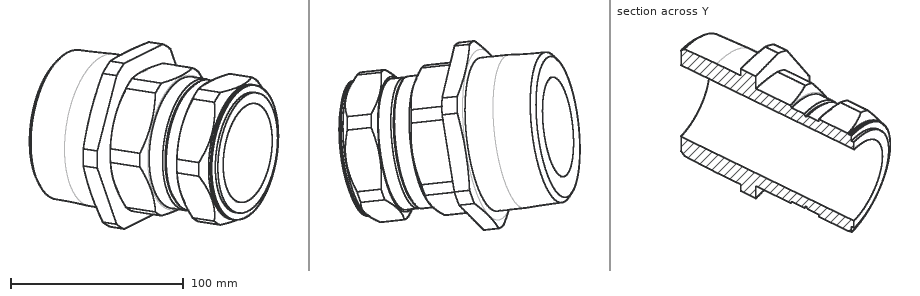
import cadquery as cq

total_length = 122.0
bore_radius = 29.0

thread_tip_radius = 41.1
thread_start_radius = 43.9
thread_body_radius = 44.75
thread_chamfer_length = 2.6
taper_end_x = 25.2

flat_angle = 30.0

flange_start_x = 42.1
flange_width = 10.7
flange_across_flats = 100.0
flange_corner_radius = 55.0
flange_face_radius = 49.75
flange_chamfer_length = 1.4

nut_across_flats = 80.0
nut_corner_radius = 44.0
nut_face_radius = 39.5
nut_chamfer_length = 2.6
body_nut_end_x = 77.6
cap_nut_start_x = 97.0
cap_nut_end_x = 118.2
cap_nut_front_chamfer_length = 4.0

body_neck_radius = 38.6
body_neck_end_x = 87.8
cap_neck_radius = 38.3
cap_neck_start_x = 88.3
neck_groove_radius = 36.9
neck_root_cone_length = 0.6
body_neck_chamfer_length = 0.7
cap_neck_chamfer_length = 1.1

collar_radius = 39.6
collar_end_x = 119.4
washer_radius = 39.5
washer_end_x = 120.3
seal_radius = 35.3


def revolve_about_x(profile):
    """Close a list of (x, radius) points onto the X axis and revolve it."""
    first_x = profile[0][0]
    last_x = profile[-1][0]
    outline = [(first_x, 0)] + profile + [(last_x, 0)]
    return cq.Workplane("XY").polyline(outline).close().revolve(360, (0, 0), (1, 0))


def chamfered_hexagon(start_x, across_flats, profile):
    """Hexagon with flats facing +Z and -Z, its corners trimmed by a turned profile."""
    length = profile[-1][0] - start_x
    prism = (
        cq.Workplane("YZ")
        .workplane(offset=start_x)
        .polygon(6, across_flats, circumscribed=True)
        .extrude(length)
        .rotate((0, 0, 0), (1, 0, 0), flat_angle)
    )
    return prism.intersect(revolve_about_x(profile))


def make_thread_body():
    return revolve_about_x([
        (0, thread_tip_radius),
        (thread_chamfer_length, thread_start_radius),
        (taper_end_x, thread_body_radius),
        (flange_start_x, thread_body_radius),
    ])


def make_flange():
    profile = [
        (flange_start_x, flange_face_radius),
        (flange_start_x + flange_chamfer_length, flange_corner_radius),
        (flange_start_x + flange_width, flange_corner_radius),
    ]
    return chamfered_hexagon(flange_start_x, flange_across_flats, profile)


def make_nut(start_x, end_x, end_chamfer_length):
    profile = [
        (start_x, nut_face_radius),
        (start_x + nut_chamfer_length, nut_corner_radius),
        (end_x - end_chamfer_length, nut_corner_radius),
        (end_x, nut_face_radius),
    ]
    return chamfered_hexagon(start_x, nut_across_flats, profile)


def make_necks():
    return revolve_about_x([
        (body_nut_end_x, nut_face_radius),
        (body_nut_end_x + neck_root_cone_length, body_neck_radius),
        (body_neck_end_x - body_neck_chamfer_length, body_neck_radius),
        (body_neck_end_x, neck_groove_radius),
        (cap_neck_start_x, neck_groove_radius),
        (cap_neck_start_x + cap_neck_chamfer_length, cap_neck_radius),
        (cap_nut_start_x, cap_neck_radius),
    ])


def make_stepped_end():
    return revolve_about_x([
        (cap_nut_end_x, collar_radius),
        (collar_end_x, collar_radius),
        (collar_end_x, washer_radius),
        (washer_end_x, washer_radius),
        (washer_end_x, seal_radius),
        (total_length, seal_radius),
    ])


flange_end_x = flange_start_x + flange_width
sections = [
    make_flange(),
    make_nut(flange_end_x, body_nut_end_x, nut_chamfer_length),
    make_necks(),
    make_nut(cap_nut_start_x, cap_nut_end_x, cap_nut_front_chamfer_length),
    make_stepped_end(),
]
fitting = make_thread_body()
for section in sections:
    fitting = fitting.union(section)

bore = cq.Workplane("YZ").circle(bore_radius).extrude(total_length)
result = fitting.cut(bore)